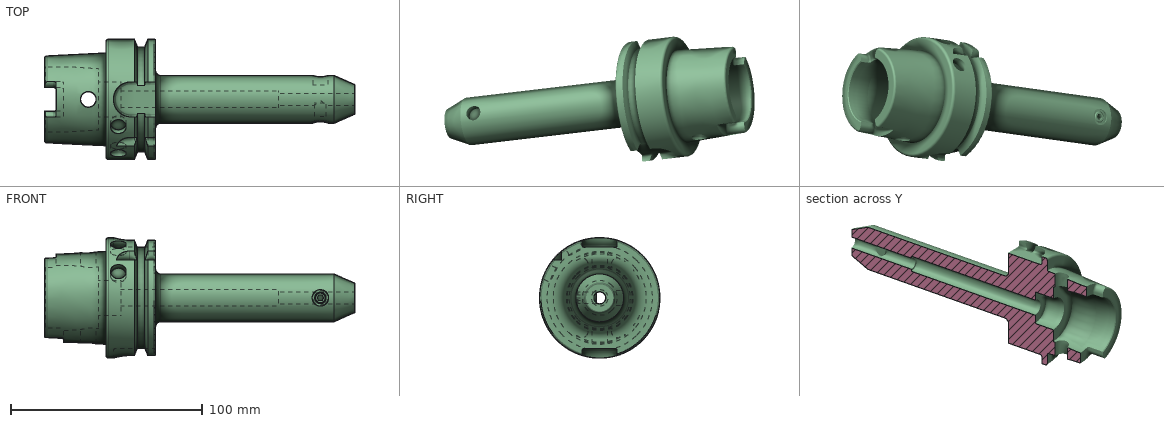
import cadquery as cq
import math


TAPER_LENGTH = 32.0
TAPER_BASE_RADIUS = 24.3
TAPER_RATIO = 0.05
TAPER_END_RADIUS = TAPER_BASE_RADIUS - TAPER_RATIO * TAPER_LENGTH
TAPER_TIP_ROUND = 1.2

FLANGE_RADIUS = 31.5
FLANGE_WIDTH = 26.0
FLANGE_FRONT_ROUND = 1.4
FLANGE_BACK_ROUND = 0.8
GROOVE_RADIUS = 27.5
GROOVE_CENTRE = 18.35
GROOVE_FLOOR_WIDTH = 3.8
GROOVE_TOP_WIDTH = 7.0

SHANK_RADIUS = 12.5
SHANK_END = 130.0
SHANK_ROOT_FILLET = 2.6
NOSE_LENGTH = 10.8
NOSE_RADIUS = 7.7
NOSE_ROUND = 0.5

MOUTH_RADIUS = 17.0
MOUTH_CHAMFER = 0.4
MOUTH_DEPTH = 13.0
FLOOR_RADIUS = 16.0
FLOOR_X = -4.0
COOLANT_RECESS_RADIUS = 9.1
COOLANT_RECESS_DEPTH = 12.0
STOP_BORE_RADIUS = 4.3
STOP_BORE_END = 90.0
TOOL_BORE_RADIUS = 3.1

KEYWAY_HALF_WIDTH = 6.1
KEYWAY_LIP_RADIUS = 3.2
KEYWAY_LIP_HEIGHT = 20.8
KEYWAY_END_FILLET = 1.0
KEYWAY_DEPTH_TOP = 6.0
KEYWAY_DEPTH_BOTTOM = 9.9

ACCESS_RADIUS = 4.0
ACCESS_X = -9.2

SLOT_RADIUS = 9.15
SLOT_CENTRE_X = 13.05
SLOT_FLOOR = 26.5
SLOT_FILLET = 1.0

NOTCH_EDGE = 19.9
NOTCH_CUTTER_RADIUS = 7.5
NOTCH_START_X = 12.3
DATA_HOLE_RADIUS = 4.1
DATA_HOLE_DEPTH = 4.6
DATA_HOLE_X = 6.5
DATA_HOLE_ANGLES = (26.0, 63.0)

SCREW_X = SHANK_END - 18.0
SCREW_RADIUS = 3.0
SCREW_LENGTH = 10.0
SCREW_TIP_Y = -1.8
SCREW_CHAMFER = 0.5
SOCKET_WIDTH = 3.0
SOCKET_DEPTH = 3.0
COUNTERBORE_RADIUS = 4.3
COUNTERBORE_DEPTH = 0.9
BALANCE_RADIUS = 3.9
BALANCE_DEPTH = 5.0

RIM_TOLERANCE = 0.01
CUT_MARGIN = 5.0


def round_rim(body, x, radius, rounding):
    """Fillet the circular edge of the given radius that lies in the plane at x."""
    half = radius + RIM_TOLERANCE
    around = cq.selectors.BoxSelector(
        (x - RIM_TOLERANCE, -half, -half), (x + RIM_TOLERANCE, half, half), boundingbox=True
    )
    rim = body.edges(around).edges("%CIRCLE").edges(cq.selectors.RadiusNthSelector(-1))
    return body.newObject(rim.vals()).fillet(rounding)


def turned_body():
    """Taper, flange, shank and nose as one revolved outline."""
    groove_floor = GROOVE_FLOOR_WIDTH / 2
    groove_top = GROOVE_TOP_WIDTH / 2
    root_radius = SHANK_RADIUS + SHANK_ROOT_FILLET
    root_end = FLANGE_WIDTH + SHANK_ROOT_FILLET
    root_bulge = SHANK_ROOT_FILLET * math.sqrt(0.5)
    body = (
        cq.Workplane("XY")
        .moveTo(-TAPER_LENGTH, 0)
        .lineTo(-TAPER_LENGTH, TAPER_END_RADIUS)
        .lineTo(0, TAPER_BASE_RADIUS)
        .lineTo(0, FLANGE_RADIUS)
        .lineTo(GROOVE_CENTRE - groove_top, FLANGE_RADIUS)
        .lineTo(GROOVE_CENTRE - groove_floor, GROOVE_RADIUS)
        .lineTo(GROOVE_CENTRE + groove_floor, GROOVE_RADIUS)
        .lineTo(GROOVE_CENTRE + groove_top, FLANGE_RADIUS)
        .lineTo(FLANGE_WIDTH, FLANGE_RADIUS)
        .lineTo(FLANGE_WIDTH, root_radius)
        .threePointArc((root_end - root_bulge, root_radius - root_bulge), (root_end, SHANK_RADIUS))
        .lineTo(SHANK_END - NOSE_LENGTH, SHANK_RADIUS)
        .lineTo(SHANK_END, NOSE_RADIUS)
        .lineTo(SHANK_END, 0)
        .close()
        .revolve(360, (0, 0, 0), (1, 0, 0))
    )
    body = round_rim(body, -TAPER_LENGTH, TAPER_END_RADIUS, TAPER_TIP_ROUND)
    body = round_rim(body, 0, FLANGE_RADIUS, FLANGE_FRONT_ROUND)
    body = round_rim(body, FLANGE_WIDTH, FLANGE_RADIUS, FLANGE_BACK_ROUND)
    return round_rim(body, SHANK_END, NOSE_RADIUS, NOSE_ROUND)


def axial_bores():
    """Stepped hollow from the taper mouth to the end of the nose."""
    recess_end = FLOOR_X + COOLANT_RECESS_DEPTH
    return (
        cq.Workplane("XY")
        .moveTo(-TAPER_LENGTH, 0)
        .lineTo(-TAPER_LENGTH, MOUTH_RADIUS + MOUTH_CHAMFER)
        .lineTo(-TAPER_LENGTH + MOUTH_CHAMFER, MOUTH_RADIUS)
        .lineTo(-TAPER_LENGTH + MOUTH_DEPTH, MOUTH_RADIUS)
        .lineTo(FLOOR_X, FLOOR_RADIUS)
        .lineTo(FLOOR_X, COOLANT_RECESS_RADIUS)
        .lineTo(recess_end, COOLANT_RECESS_RADIUS)
        .lineTo(recess_end, STOP_BORE_RADIUS)
        .lineTo(STOP_BORE_END, STOP_BORE_RADIUS)
        .lineTo(STOP_BORE_END, TOOL_BORE_RADIUS)
        .lineTo(SHANK_END, TOOL_BORE_RADIUS)
        .lineTo(SHANK_END, 0)
        .close()
        .revolve(360, (0, 0, 0), (1, 0, 0))
    )


def keyway(depth):
    """Upward keyway cutter whose side walls flare out in a round lip."""
    lip_start = KEYWAY_LIP_HEIGHT - KEYWAY_LIP_RADIUS
    lip_half_width = KEYWAY_HALF_WIDTH + KEYWAY_LIP_RADIUS
    bulge = KEYWAY_LIP_RADIUS * math.sqrt(0.5)
    bulge_y = lip_half_width - bulge
    bulge_z = lip_start + bulge
    top = TAPER_BASE_RADIUS + CUT_MARGIN
    return (
        cq.Workplane("YZ", origin=(-TAPER_LENGTH, 0, 0))
        .moveTo(-KEYWAY_HALF_WIDTH, 0)
        .lineTo(-KEYWAY_HALF_WIDTH, lip_start)
        .threePointArc((-bulge_y, bulge_z), (-lip_half_width, KEYWAY_LIP_HEIGHT))
        .lineTo(-lip_half_width, top)
        .lineTo(lip_half_width, top)
        .lineTo(lip_half_width, KEYWAY_LIP_HEIGHT)
        .threePointArc((bulge_y, bulge_z), (KEYWAY_HALF_WIDTH, lip_start))
        .lineTo(KEYWAY_HALF_WIDTH, 0)
        .close()
        .extrude(depth)
        .faces(">X")
        .edges("not #Z")
        .fillet(KEYWAY_END_FILLET)
    )


def access_hole():
    half_length = TAPER_BASE_RADIUS + CUT_MARGIN
    return (
        cq.Workplane("XY", origin=(ACCESS_X, 0, 0))
        .circle(ACCESS_RADIUS)
        .extrude(half_length, both=True)
    )


def gripper_slot():
    """Round-ended slot, open toward the shank, with a filleted floor."""
    slot_end = FLANGE_WIDTH + CUT_MARGIN
    return (
        cq.Workplane("XY", origin=(0, 0, SLOT_FLOOR))
        .moveTo(slot_end, SLOT_RADIUS)
        .lineTo(SLOT_CENTRE_X, SLOT_RADIUS)
        .threePointArc((SLOT_CENTRE_X - SLOT_RADIUS, 0), (SLOT_CENTRE_X, -SLOT_RADIUS))
        .lineTo(slot_end, -SLOT_RADIUS)
        .close()
        .extrude(FLANGE_RADIUS - SLOT_FLOOR + CUT_MARGIN)
        .faces("<Z")
        .edges()
        .fillet(SLOT_FILLET)
    )


def indexing_notch():
    """Right-angled notch with a rounded run-out, open toward the shank."""
    r = NOTCH_CUTTER_RADIUS
    far_x = FLANGE_WIDTH + CUT_MARGIN
    return (
        cq.Workplane("XY", origin=(0, 0, NOTCH_EDGE))
        .moveTo(far_x, -NOTCH_EDGE)
        .lineTo(NOTCH_START_X, -NOTCH_EDGE)
        .threePointArc(
            (NOTCH_START_X - r, -NOTCH_EDGE - r), (NOTCH_START_X, -NOTCH_EDGE - 2 * r)
        )
        .lineTo(far_x, -NOTCH_EDGE - 2 * r)
        .close()
        .extrude(FLANGE_RADIUS - NOTCH_EDGE)
    )


def data_hole(angle):
    """Flat-bottomed radial hole in the flange rim."""
    outward = cq.Vector(0, -math.cos(math.radians(angle)), math.sin(math.radians(angle)))
    floor_centre = outward * (FLANGE_RADIUS - DATA_HOLE_DEPTH) + cq.Vector(DATA_HOLE_X, 0, 0)
    length = DATA_HOLE_DEPTH + CUT_MARGIN
    return cq.Workplane(obj=cq.Solid.makeCylinder(DATA_HOLE_RADIUS, length, floor_centre, outward))


def screw_hole():
    """Counterbored thread hole from the -Y side into the tool bore."""
    counterbore_floor = -SHANK_RADIUS + COUNTERBORE_DEPTH
    return (
        cq.Workplane("XY")
        .moveTo(SCREW_X, 0)
        .lineTo(SCREW_X + SCREW_RADIUS, 0)
        .lineTo(SCREW_X + SCREW_RADIUS, counterbore_floor)
        .lineTo(SCREW_X + COUNTERBORE_RADIUS, counterbore_floor)
        .lineTo(SCREW_X + COUNTERBORE_RADIUS, -SHANK_RADIUS)
        .lineTo(SCREW_X, -SHANK_RADIUS)
        .close()
        .revolve(360, (SCREW_X, 0, 0), (SCREW_X, 1, 0))
    )


def balance_hole():
    floor = cq.Vector(SCREW_X, SHANK_RADIUS - BALANCE_DEPTH, 0)
    return cq.Workplane(
        obj=cq.Solid.makeCylinder(BALANCE_RADIUS, BALANCE_DEPTH, floor, cq.Vector(0, 1, 0))
    )


def make_holder():
    body = turned_body().cut(axial_bores())
    body = body.cut(keyway(KEYWAY_DEPTH_TOP))
    body = body.cut(keyway(KEYWAY_DEPTH_BOTTOM).mirror("XY"))
    body = body.cut(access_hole())
    slot = gripper_slot()
    body = body.cut(slot).cut(slot.mirror("XY"))
    body = body.cut(indexing_notch())
    for angle in DATA_HOLE_ANGLES:
        body = body.cut(data_hole(angle))
    return body.cut(screw_hole()).cut(balance_hole())


def make_clamping_screw():
    """Set screw pointing in +Y, with a hexagon socket in its outer end."""
    socket_diameter = SOCKET_WIDTH / math.cos(math.pi / 6)
    return (
        cq.Workplane("XZ", origin=(SCREW_X, SCREW_TIP_Y, 0))
        .circle(SCREW_RADIUS)
        .extrude(SCREW_LENGTH)
        .faces("<Y")
        .chamfer(SCREW_CHAMFER)
        .faces("<Y")
        .workplane()
        .polygon(6, socket_diameter)
        .cutBlind(-SOCKET_DEPTH)
    )


holder = make_holder()
clamping_screw = make_clamping_screw()

result = cq.Compound.makeCompound([holder.val(), clamping_screw.val()])